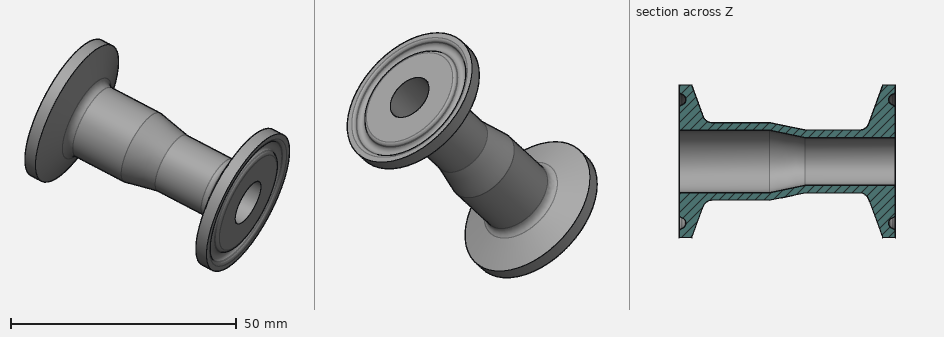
import cadquery as cq
import math

length = 48.0
flange_radius = 34.0 / 2
rim_thickness = 2.85
flange_back_angle = math.radians(20.0)
neck_fillet = 2.0

large_outer_radius = 17.3 / 2
large_bore_radius = 13.8 / 2
small_outer_radius = 14.0 / 2
small_bore_radius = 10.5 / 2
reducer_start = 20.05
reducer_end = 28.0

groove_radius = 13.75
groove_floor_arc = 1.2
groove_lip_arc = 0.85
groove_flank_width = 0.05
groove_flank_angle = math.radians(20.0)


def flange_back_length(tube_radius):
    """Axial length of the conical back between the rim and a tube."""
    return (flange_radius - tube_radius) * math.tan(flange_back_angle)


def make_tube_and_flanges():
    large_neck = rim_thickness + flange_back_length(large_outer_radius)
    small_neck = length - rim_thickness - flange_back_length(small_outer_radius)
    body = (
        cq.Workplane("XY")
        .moveTo(0, 0)
        .lineTo(0, flange_radius)
        .lineTo(rim_thickness, flange_radius)
        .lineTo(large_neck, large_outer_radius)
        .lineTo(reducer_start, large_outer_radius)
        .lineTo(reducer_end, small_outer_radius)
        .lineTo(small_neck, small_outer_radius)
        .lineTo(length - rim_thickness, flange_radius)
        .lineTo(length, flange_radius)
        .lineTo(length, 0)
        .close()
        .revolve(360, (0, 0, 0), (1, 0, 0))
    )
    for neck in (large_neck, small_neck):
        neck_edge = cq.selectors.NearestToPointSelector((neck, 0, 0))
        body = body.edges("%CIRCLE").edges(neck_edge).fillet(neck_fillet)
    return body


def make_bore():
    return (
        cq.Workplane("XY")
        .moveTo(0, 0)
        .lineTo(0, large_bore_radius)
        .lineTo(reducer_start, large_bore_radius)
        .lineTo(reducer_end, small_bore_radius)
        .lineTo(length, small_bore_radius)
        .lineTo(length, 0)
        .close()
        .revolve(360, (0, 0, 0), (1, 0, 0))
    )


def make_groove():
    """Ring cut into the face at X = 0."""
    arc_run = math.cos(groove_flank_angle)
    arc_rise = 1 - math.sin(groove_flank_angle)
    middle = (math.pi / 2 + groove_flank_angle) / 2

    floor_half = groove_floor_arc * arc_run
    lip_half = floor_half + groove_flank_width
    open_half = lip_half + groove_lip_arc * arc_run
    lip_middle = open_half - groove_lip_arc * math.cos(middle)

    lip_depth = groove_lip_arc * arc_rise
    lip_middle_depth = groove_lip_arc * (1 - math.sin(middle))
    flank_depth = lip_depth + groove_flank_width / math.tan(groove_flank_angle)
    floor_depth = flank_depth + groove_floor_arc * arc_rise

    return (
        cq.Workplane("XY")
        .moveTo(0, groove_radius - open_half)
        .threePointArc((lip_middle_depth, groove_radius - lip_middle), (lip_depth, groove_radius - lip_half))
        .lineTo(flank_depth, groove_radius - floor_half)
        .threePointArc((floor_depth, groove_radius), (flank_depth, groove_radius + floor_half))
        .lineTo(lip_depth, groove_radius + lip_half)
        .threePointArc((lip_middle_depth, groove_radius + lip_middle), (0, groove_radius + open_half))
        .close()
        .revolve(360, (0, 0, 0), (1, 0, 0))
    )


near_groove = make_groove()
far_groove = near_groove.mirror("YZ").translate((length, 0, 0))

result = (
    make_tube_and_flanges()
    .cut(make_bore())
    .cut(near_groove)
    .cut(far_groove)
    .translate((-length / 2, 0, 0))
)